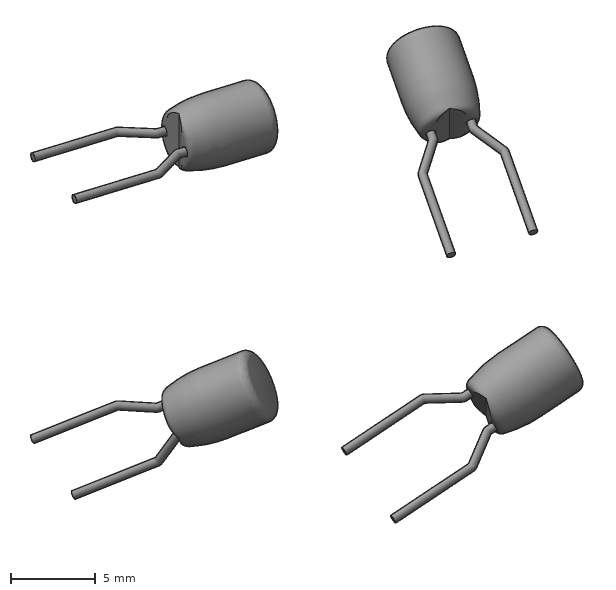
import cadquery as cq
import math

overall_length = 14.16
body_length = 6.0
body_radius = 2.25
band_start = 2.66
neck_radius = 1.91
neck_y = 0.37
flat_radius = 1.47
dome_sag = 0.13
shoulder_fillet = 0.5

groove_half_width = 0.88
groove_depth = 0.28

lead_diameter = 0.55
lead_root_spacing = 2.5
lead_tip_spacing = 5.08
lead_root_length = 0.41
bend_angle = 33.0

lead_radius = lead_diameter / 2
bend_clearance = 0.007
bend_radius = lead_radius + bend_clearance
lead_tip_y = body_length - overall_length
lead_embed = 0.57
recess_diameter = 0.64
recess_depth = 0.14


def make_body():
    """Barrel with a tapered front, rounded front edge and domed back."""
    taper_drop = body_radius - neck_radius
    taper_length = band_start - neck_y
    taper_arc_radius = (taper_length**2 + taper_drop**2) / (2 * taper_drop)
    taper_angle = math.asin(taper_length / taper_arc_radius)
    dome_radius = (body_radius**2 + dome_sag**2) / (2 * dome_sag)
    dome_angle = math.asin(body_radius / dome_radius) / 2
    dome_mid = (
        dome_radius * math.sin(dome_angle),
        body_length - dome_radius * (1 - math.cos(dome_angle)),
    )
    profile = (
        cq.Workplane("XY")
        .lineTo(flat_radius, 0)
        .spline(
            [(neck_radius, neck_y)],
            tangents=[(1, 0), (math.sin(taper_angle), math.cos(taper_angle))],
            includeCurrent=True,
        )
        .tangentArcPoint((body_radius, band_start), relative=False)
        .lineTo(body_radius, body_length - dome_sag)
        .threePointArc(dome_mid, (0, body_length))
        .close()
    )
    body = profile.revolve(360, (0, 0, 0), (0, 1, 0))
    shoulder = cq.selectors.BoxSelector(
        (-body_radius - 0.14, body_length - 2 * dome_sag, -body_radius - 0.14),
        (body_radius + 0.14, body_length - dome_sag / 2, body_radius + 0.14),
        boundingbox=True,
    )
    return body.edges(shoulder).fillet(shoulder_fillet)


def make_groove():
    """V groove running along Z across the front end."""
    return (
        cq.Workplane("XY")
        .moveTo(-groove_half_width, 0)
        .lineTo(0, groove_depth)
        .lineTo(groove_half_width, 0)
        .close()
        .extrude(body_radius, both=True)
    )


def make_recesses():
    """Round clearance pockets around the two lead roots."""
    return (
        cq.Workplane("XZ")
        .pushPoints([(-lead_root_spacing / 2, 0), (lead_root_spacing / 2, 0)])
        .circle(recess_diameter / 2)
        .extrude(-recess_depth)
    )


def make_lead():
    """Round wire on the +X side, bent outward and then back parallel to Y."""
    angle = math.radians(bend_angle)
    root_x = lead_root_spacing / 2
    tip_x = lead_tip_spacing / 2
    bend_shift = bend_radius * (1 - math.cos(angle))
    bend_run = bend_radius * math.sin(angle)
    slant_shift = tip_x - root_x - 2 * bend_shift
    slant_length = slant_shift / math.sin(angle)
    slant_run = slant_length * math.cos(angle)

    first_bend_y = -lead_root_length
    slant_start = (root_x + bend_shift, first_bend_y - bend_run)
    slant_end_y = slant_start[1] - slant_run
    last_bend_y = slant_end_y - bend_run

    def straight(start, length, tilt):
        direction = cq.Vector(math.sin(tilt), -math.cos(tilt), 0)
        wire = cq.Solid.makeCylinder(lead_radius, length, cq.Vector(*start, 0), direction)
        return cq.Workplane(obj=wire)

    def bend(start_x, start_y, pivot_side):
        section = cq.Workplane("XZ", origin=(start_x, start_y, 0)).circle(lead_radius)
        pivot = pivot_side * bend_radius
        return section.revolve(bend_angle, (pivot, 0, 0), (pivot, 1, 0))

    root = straight((root_x, lead_embed), lead_embed + lead_root_length, 0)
    first_bend = bend(root_x, first_bend_y, 1)
    slant = straight(slant_start, slant_length, angle)
    last_bend = bend(tip_x, last_bend_y, -1)
    tip = straight((tip_x, last_bend_y), last_bend_y - lead_tip_y, 0)
    return root.union(first_bend).union(slant).union(last_bend).union(tip)


lead = make_lead()
body = make_body().cut(make_groove()).cut(make_recesses())
result = body.union(lead).union(lead.mirror("YZ"))